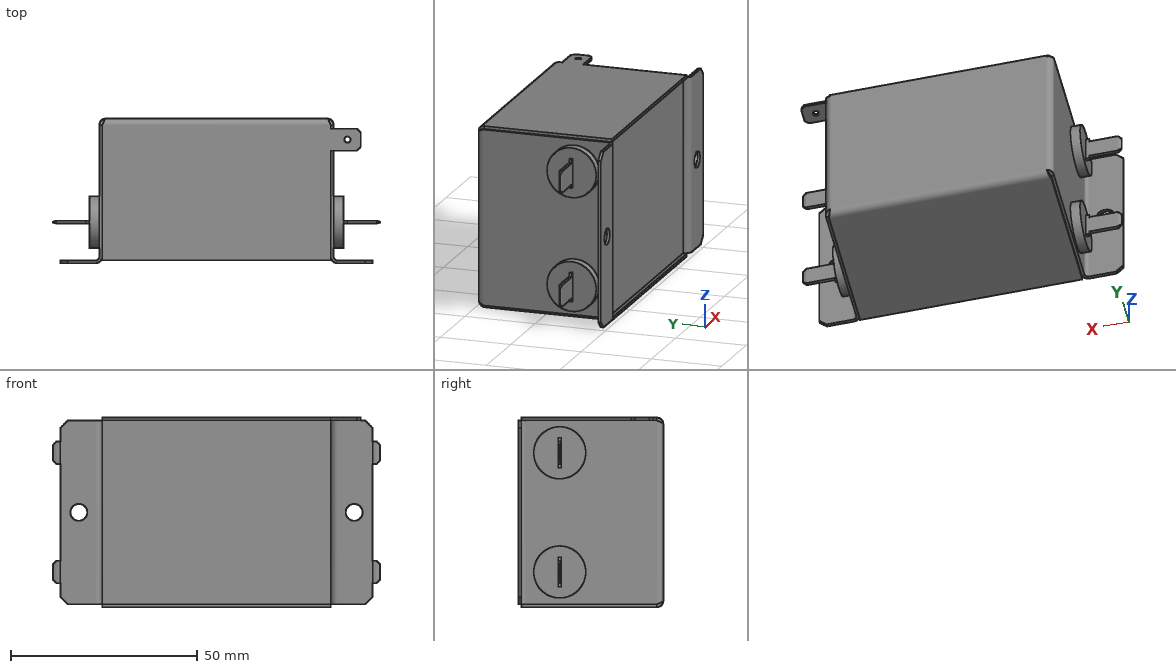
import cadquery as cq
import math

sheet = 0.8
bend_outer = 1.85
bend_inner = bend_outer - sheet

case_length = 63.0
case_depth = 39.0
case_height = 51.0
plate_length = case_length - 2 * sheet
wall_height = case_height - 2 * sheet
plate_front = sheet
filling_front = bend_outer

flange_span = 83.95
flange_chamfer = 2.0
mount_hole_diameter = 4.5
mount_hole_spacing = 74.0

terminal_y = 11.1
terminal_spacing = 32.0
insulator_diameter = 14.0
insulator_thickness = 2.6
blade_span = 88.0
blade_width = 6.1
blade_tip_length = 1.0
blade_tip_thickness = 0.3
blade_tip_inset = 1.0
blade_root_width = 8.0
blade_root_length = 1.0

earth_tab_tip_x = 38.8
earth_tab_y = 33.3
earth_tab_width = 6.0
earth_tab_chamfer = 1.1
earth_hole_x = 35.2
earth_hole_diameter = 1.6


def block(x_range, y_range, z_range):
    """Box spanning the given (low, high) ranges."""
    lows, highs = zip(x_range, y_range, z_range)
    sizes = [high - low for low, high in zip(lows, highs)]
    return cq.Workplane("XY").box(*sizes, centered=False).translate(lows)


def make_corner_notch():
    """Square cutter along a case edge that doubles in width over the rear bend."""
    bend_start = case_depth - bend_outer
    straight = block((-sheet, sheet), (0, bend_start), (-sheet, sheet))
    flare = (
        cq.Workplane("XZ", origin=(0, bend_start, 0))
        .rect(2 * sheet, 2 * sheet)
        .workplane(offset=-bend_outer)
        .rect(4 * sheet, 4 * sheet)
        .loft()
    )
    return straight.union(flare)


def make_case():
    """Filled case with bent rear edges; the side walls stop below the top and bottom plates."""
    half_length = case_length / 2
    half_height = case_height / 2
    case = block((-half_length, half_length), (plate_front, case_depth), (-half_height, half_height))
    case = case.faces(">Y").edges().fillet(bend_outer)
    notch = make_corner_notch()
    for x_side in (-1, 1):
        for z_side in (-1, 1):
            case = case.cut(notch.translate((x_side * half_length, 0, z_side * half_height)))
    return case


def make_front_opening():
    """Space between the plates, in front of the filling and across the ends of the side walls."""
    return block(
        (-case_length / 2, case_length / 2),
        (0, filling_front),
        (-wall_height / 2, wall_height / 2),
    )


def make_flange():
    """Front end of the right wall, bent outwards into a drilled mounting flange."""
    wall_inside = plate_length / 2
    wall_outside = case_length / 2
    bend_x = wall_inside + bend_outer
    tip_x = flange_span / 2
    diagonal = math.sqrt(0.5)
    profile = (
        cq.Workplane("XY")
        .moveTo(wall_inside, bend_outer)
        .threePointArc(
            (bend_x - bend_outer * diagonal, bend_outer - bend_outer * diagonal),
            (bend_x, 0),
        )
        .lineTo(tip_x, 0)
        .lineTo(tip_x, sheet)
        .lineTo(bend_x, sheet)
        .threePointArc(
            (bend_x - bend_inner * diagonal, bend_outer - bend_inner * diagonal),
            (wall_outside, bend_outer),
        )
        .close()
    )
    flange = profile.extrude(wall_height / 2, both=True)
    flange = flange.faces(">X").edges("|Y").chamfer(flange_chamfer)
    hole = (
        cq.Workplane("XZ")
        .center(mount_hole_spacing / 2, 0)
        .circle(mount_hole_diameter / 2)
        .extrude(2 * sheet, both=True)
    )
    return flange.cut(hole)


def make_terminal(z):
    """Round insulator on the right wall with a bevelled blade on a wider root."""
    insulator_face = case_length / 2 + insulator_thickness
    root_end = insulator_face + blade_root_length
    tip_start = blade_span / 2 - blade_tip_length
    insulator = (
        cq.Workplane("YZ", origin=(plate_length / 2, 0, 0))
        .circle(insulator_diameter / 2)
        .extrude(insulator_face - plate_length / 2)
    )
    root = (
        cq.Workplane("YZ", origin=(insulator_face, 0, 0))
        .rect(sheet, blade_root_width)
        .extrude(blade_root_length)
    )
    blade = (
        cq.Workplane("YZ", origin=(root_end, 0, 0))
        .rect(sheet, blade_width)
        .extrude(tip_start - root_end)
    )
    tip = (
        cq.Workplane("YZ", origin=(tip_start, 0, 0))
        .rect(sheet, blade_width)
        .workplane(offset=blade_tip_length)
        .rect(blade_tip_thickness, blade_width - 2 * blade_tip_inset)
        .loft()
    )
    return insulator.union(root).union(blade).union(tip).translate((0, terminal_y, z))


def make_earth_tab():
    """Flat drilled tab that continues the top plate past the right wall."""
    tab = block(
        (0, earth_tab_tip_x),
        (earth_tab_y - earth_tab_width / 2, earth_tab_y + earth_tab_width / 2),
        (wall_height / 2, case_height / 2),
    )
    tab = tab.faces(">X").edges("|Z").chamfer(earth_tab_chamfer)
    hole = (
        cq.Workplane("XY")
        .center(earth_hole_x, earth_tab_y)
        .circle(earth_hole_diameter / 2)
        .extrude(case_height)
    )
    return tab.cut(hole)


result = make_case().cut(make_front_opening())

right_end_parts = [make_flange()]
for z_place in (-terminal_spacing / 2, terminal_spacing / 2):
    right_end_parts.append(make_terminal(z_place))

for part in right_end_parts:
    result = result.union(part).union(part.mirror("YZ"))

result = result.union(make_earth_tab())